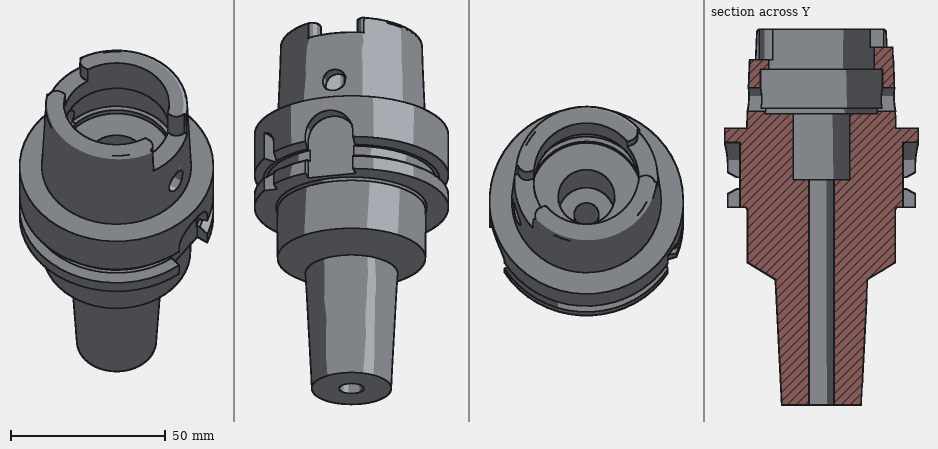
import cadquery as cq
import math

TOTAL_HEIGHT = 122.0
NECK_TOP = 40.7
BODY_BOTTOM = 46.2
FLANGE_BOTTOM = 64.2
FLANGE_TOP = 89.9

NOSE_RADIUS = 12.9
NECK_RADIUS = 15.0
BODY_RADIUS = 24.0
COLLAR_RADIUS = 24.5
COLLAR_HEIGHT = 1.0
FLANGE_RADIUS = 31.5
SHANK_BASE_RADIUS = 24.3
SHANK_TOP_RADIUS = 22.9
SHANK_EDGE_ROUND = 1.2

GROOVE_RADIUS = 27.5
GROOVE_LIP_RADIUS = 28.7
GROOVE_BOTTOM = 70.2
GROOVE_TOP = 73.9
GROOVE_CHAMFER = 1.6

MOUTH_RADIUS = 17.1
MOUTH_DEPTH = 13.0
CHAMBER_RADIUS = 19.8
CHAMBER_BOTTOM = 96.4
SEAT_RADIUS = 18.2
SEAT_FLOOR = 94.5
SCREW_BORE_RADIUS = 9.2
SCREW_BORE_FLOOR = 73.2
TOOL_BORE_RADIUS = 4.0

NOTCH_WIDTH = 12.6
NOTCH_EDGE_ROUND = 3.0
NOTCH_DEPTH_LEFT = 5.9
NOTCH_DEPTH_RIGHT = 9.9

CROSS_HOLE_RADIUS = 3.8
CROSS_HOLE_HEIGHT = 99.2

KEY_WIDTH = 15.9
KEY_TOP = 85.2
KEY_FLOOR = 26.5

CORNER_OFFSET = 20.0
CORNER_WIDTH = 13.4
CORNER_TOP = 85.0


def upright_cylinder(radius, bottom, top):
    return cq.Workplane("XY").workplane(offset=bottom).circle(radius).extrude(top - bottom)


def turned_body():
    lower_lip = GROOVE_BOTTOM - GROOVE_CHAMFER
    upper_lip = GROOVE_TOP + GROOVE_CHAMFER
    profile = [
        (0, 0),
        (NOSE_RADIUS, 0),
        (NECK_RADIUS, NECK_TOP),
        (BODY_RADIUS, BODY_BOTTOM),
        (BODY_RADIUS, FLANGE_BOTTOM - COLLAR_HEIGHT),
        (COLLAR_RADIUS, FLANGE_BOTTOM),
        (FLANGE_RADIUS, FLANGE_BOTTOM),
        (FLANGE_RADIUS, lower_lip),
        (GROOVE_LIP_RADIUS, GROOVE_BOTTOM),
        (GROOVE_RADIUS, GROOVE_BOTTOM),
        (GROOVE_RADIUS, GROOVE_TOP),
        (GROOVE_LIP_RADIUS, GROOVE_TOP),
        (FLANGE_RADIUS, upper_lip),
        (FLANGE_RADIUS, FLANGE_TOP),
        (SHANK_BASE_RADIUS, FLANGE_TOP),
        (SHANK_TOP_RADIUS, TOTAL_HEIGHT),
        (0, TOTAL_HEIGHT),
    ]
    solid = cq.Workplane("XZ").polyline(profile).close().revolve(360, (0, 0), (0, 1))
    return solid.faces(">Z").edges().fillet(SHANK_EDGE_ROUND)


def stepped_bore():
    chamber_top = TOTAL_HEIGHT - MOUTH_DEPTH
    mouth = upright_cylinder(MOUTH_RADIUS, chamber_top, TOTAL_HEIGHT)
    chamber = upright_cylinder(CHAMBER_RADIUS, CHAMBER_BOTTOM, chamber_top)
    seat = upright_cylinder(SEAT_RADIUS, SEAT_FLOOR, CHAMBER_BOTTOM)
    screw_bore = upright_cylinder(SCREW_BORE_RADIUS, SCREW_BORE_FLOOR, SEAT_FLOOR)
    tool_bore = upright_cylinder(TOOL_BORE_RADIUS, 0, SCREW_BORE_FLOOR)
    return mouth.union(chamber).union(seat).union(screw_bore).union(tool_bore)


def drive_notch(side, depth):
    """Notch through the rim that flares outward with rounded corners; side is -1 or +1 along X."""
    half = NOTCH_WIDTH / 2
    flared_half = half + NOTCH_EDGE_ROUND
    flare_end = math.sqrt((SHANK_TOP_RADIUS - SHANK_EDGE_ROUND / 2) ** 2 - flared_half ** 2)
    flare_start = flare_end - NOTCH_EDGE_ROUND
    bend = NOTCH_EDGE_ROUND * math.sqrt(0.5)
    bend_x = flare_start + bend
    bend_y = flared_half - bend
    outside = FLANGE_RADIUS
    outline = (
        cq.Workplane("XY")
        .workplane(offset=TOTAL_HEIGHT - depth)
        .moveTo(0, -half)
        .lineTo(side * flare_start, -half)
        .threePointArc((side * bend_x, -bend_y), (side * flare_end, -flared_half))
        .lineTo(side * outside, -flared_half)
        .lineTo(side * outside, flared_half)
        .lineTo(side * flare_end, flared_half)
        .threePointArc((side * bend_x, bend_y), (side * flare_start, half))
        .lineTo(0, half)
        .close()
    )
    return outline.extrude(depth)


def round_topped_slot(center_y, width, top, floor_x, side):
    """Slot open at the flange bottom, cut from a flat floor at floor_x outward along X."""
    radius = width / 2
    arc_center = top - radius
    outline = (
        cq.Workplane("YZ")
        .workplane(offset=floor_x)
        .moveTo(center_y - radius, FLANGE_BOTTOM)
        .lineTo(center_y - radius, arc_center)
        .threePointArc((center_y, top), (center_y + radius, arc_center))
        .lineTo(center_y + radius, FLANGE_BOTTOM)
        .close()
    )
    return outline.extrude(side * FLANGE_RADIUS)


def cross_hole():
    outline = cq.Workplane("YZ").center(0, CROSS_HOLE_HEIGHT).circle(CROSS_HOLE_RADIUS)
    return outline.extrude(FLANGE_RADIUS, both=True)


result = turned_body().cut(stepped_bore()).cut(cross_hole())

for side, notch_depth in ((-1, NOTCH_DEPTH_LEFT), (1, NOTCH_DEPTH_RIGHT)):
    result = result.cut(drive_notch(side, notch_depth))
    result = result.cut(round_topped_slot(0, KEY_WIDTH, KEY_TOP, side * KEY_FLOOR, side))

corner_center = CORNER_OFFSET + CORNER_WIDTH / 2
result = result.cut(round_topped_slot(corner_center, CORNER_WIDTH, CORNER_TOP, -CORNER_OFFSET, -1))